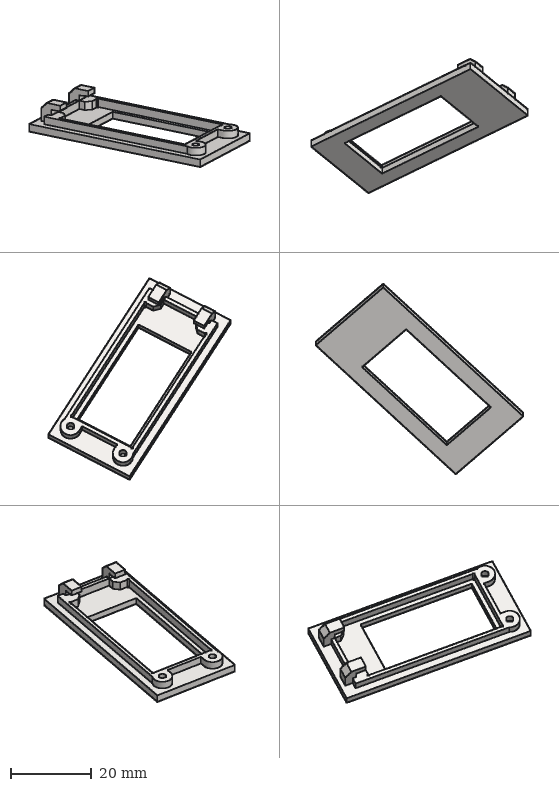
import cadquery as cq

plate_length = 49.95
plate_width = 23.25
plate_height = 2

frame_left = 3.25
frame_right = 44.7
frame_width = 19.5
frame_height = 2
frame_top = plate_height + frame_height
wall = 1
pocket_left = frame_left + wall
pocket_right = frame_right - wall
pocket_width = frame_width - 2 * wall
pocket_recess = 0.2
pocket_floor = plate_height - pocket_recess

window_left = 12.4
window_right = 42.55
window_width = 15.15

block_length = 3
block_width = 3.75
block_chamfer = 1.35
block_right = pocket_left + block_length

relief_diameter = 0.5
relief_inset = 0.1
relief_depth = 0.1

boss_x = 46.1
boss_y = 7.5
boss_diameter = 5
screw_hole_diameter = 1.8

hook_left = 1.25
hook_y = 6.5
hook_width = 3
hook_column = 3
hook_reach = 2.6
hook_top = 7
hook_chamfer = 1.65
hook_underside = 5.4
hook_tip_rise = 0.15


def box(left, right, center_y, width, bottom, top):
    """Box given by its X limits, its Y centre and width, and its Z limits."""
    return (
        cq.Workplane("XY", origin=((left + right) / 2, center_y, bottom))
        .rect(right - left, width)
        .extrude(top - bottom)
    )


def cylinder(x, y, diameter, bottom, top):
    return cq.Workplane("XY", origin=(x, y, bottom)).circle(diameter / 2).extrude(top - bottom)


def boss(side):
    """Round boss with a straight web joining it to the frame."""
    y = side * boss_y
    web = box(pocket_right, boss_x, y, boss_diameter, plate_height, frame_top)
    web = web.intersect(box(0, plate_length, 0, frame_width, plate_height, frame_top))
    return web.union(cylinder(boss_x, y, boss_diameter, plate_height, frame_top))


def corner_block(side):
    """Pocket corner filling with its free inner corner bevelled."""
    y = side * (pocket_width - block_width) / 2
    block = box(pocket_left, block_right, y, block_width, pocket_floor, frame_top)
    free_edge = ">X and <Y" if side > 0 else ">X and >Y"
    return block.edges("|Z").edges(free_edge).chamfer(block_chamfer)


def hook(side):
    """Upright column with a sloped back and a nose reaching over the pocket."""
    column_right = hook_left + hook_column
    tip = column_right + hook_reach
    profile = [
        (hook_left, plate_height),
        (column_right, plate_height),
        (column_right, hook_underside),
        (tip, hook_underside + hook_tip_rise),
        (tip, hook_top),
        (hook_left + hook_chamfer, hook_top),
        (hook_left, hook_top - hook_chamfer),
    ]
    return (
        cq.Workplane("XZ", origin=(0, side * hook_y, 0))
        .polyline(profile)
        .close()
        .extrude(hook_width / 2, both=True)
    )


plate = box(0, plate_length, 0, plate_width, 0, plate_height)
frame = box(frame_left, frame_right, 0, frame_width, plate_height, frame_top)
result = plate.union(frame)
for side in (-1, 1):
    result = result.union(boss(side))

result = result.cut(box(pocket_left, pocket_right, 0, pocket_width, pocket_floor, frame_top))
result = result.cut(box(window_left, window_right, 0, window_width, 0, plate_height))

for side in (-1, 1):
    result = result.union(corner_block(side)).union(hook(side))
    result = result.cut(cylinder(boss_x, side * boss_y, screw_hole_diameter, plate_height, frame_top))
    for relief_x in (block_right, pocket_right - relief_inset):
        relief_y = side * (pocket_width / 2 - relief_inset)
        relief = cylinder(relief_x, relief_y, relief_diameter, pocket_floor - relief_depth, frame_top)
        result = result.cut(relief)